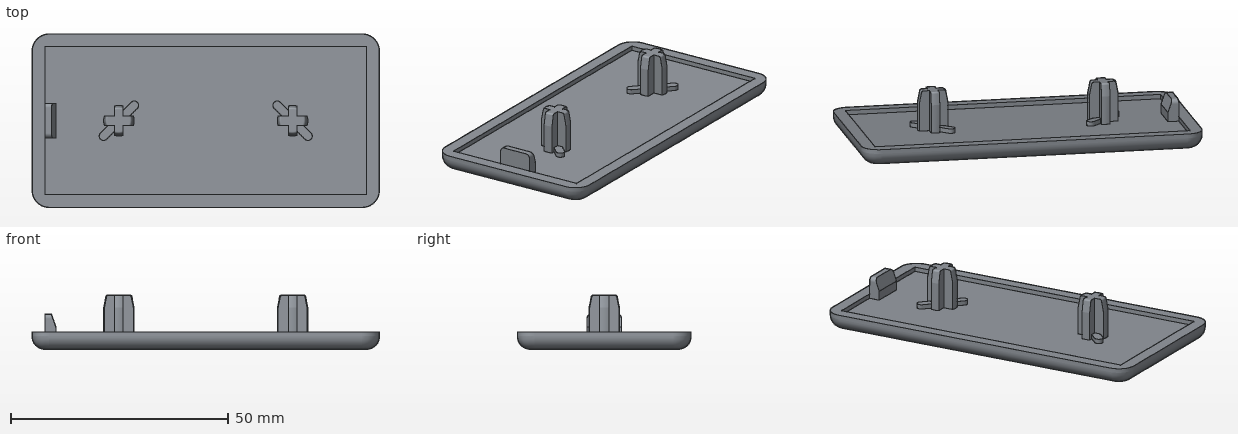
import cadquery as cq

length = 80
width = 40
plate_height = 4
corner_radius = 4
edge_radius = 3.0
rim_width = 3.0
pocket_depth = 1.0
floor_z = plate_height - pocket_depth

total_height = 12.5
post_spacing = 40
post_radius = 3.5
post_tip_radius = 3.0
taper_height = 3.0
tip_fillet = 0.5
arm_thickness_x = 2.0
arm_thickness_y = 2.2

rib_length = 12
rib_width = 2.0
rib_height = 1.0

clip_length_y = 8
clip_foot = 2.6
clip_tip = 1.5
clip_top_z = plate_height + 4.1
clip_slope_z = plate_height + 1.1
clip_corner = 1.0


def make_plate():
    """Rounded plate with a rounded lower edge and a shallow rectangular pocket."""
    plate = cq.Workplane("XY").box(length, width, plate_height, centered=(True, True, False))
    plate = plate.edges("|Z").fillet(corner_radius)
    plate = plate.faces("<Z").edges().fillet(edge_radius)
    pocket = (
        cq.Workplane("XY", origin=(0, 0, floor_z))
        .rect(length - 2 * rim_width, width - 2 * rim_width)
        .extrude(pocket_depth)
    )
    return plate.cut(pocket)


def make_post():
    """Cross trimmed to a round bar that tapers to a rounded tip."""
    bar = (
        cq.Workplane("XZ")
        .moveTo(0, floor_z)
        .lineTo(post_radius, floor_z)
        .lineTo(post_radius, total_height - taper_height)
        .lineTo(post_tip_radius, total_height)
        .lineTo(0, total_height)
        .close()
        .revolve(360, (0, 0, 0), (0, 1, 0))
        .faces(">Z")
        .edges()
        .fillet(tip_fillet)
    )
    post_height = total_height - floor_z
    foot = cq.Workplane("XY", origin=(0, 0, floor_z))
    arm_along_x = foot.rect(2 * post_radius, arm_thickness_y).extrude(post_height)
    arm_along_y = foot.rect(arm_thickness_x, 2 * post_radius).extrude(post_height)
    return arm_along_x.union(arm_along_y).intersect(bar)


def make_rib(angle):
    """Low round-ended rib turned by the given angle."""
    return (
        cq.Workplane("XY", origin=(0, 0, floor_z))
        .slot2D(rib_length, rib_width, angle)
        .extrude(rib_height)
    )


def make_clip():
    """Upright tab with a sloped inner face and rounded upper corners."""
    wall_x = rim_width - length / 2
    return (
        cq.Workplane("XZ", origin=(0, clip_length_y / 2, 0))
        .moveTo(wall_x, floor_z)
        .lineTo(wall_x + clip_foot, floor_z)
        .lineTo(wall_x + clip_foot, clip_slope_z)
        .lineTo(wall_x + clip_tip, clip_top_z)
        .lineTo(wall_x, clip_top_z)
        .close()
        .extrude(clip_length_y)
        .faces(">Z")
        .edges("|X")
        .fillet(clip_corner)
    )


result = make_plate().union(make_clip())
for side in (-1, 1):
    post_with_rib = make_post().union(make_rib(-45 * side))
    result = result.union(post_with_rib.translate((side * post_spacing / 2, 0, 0)))